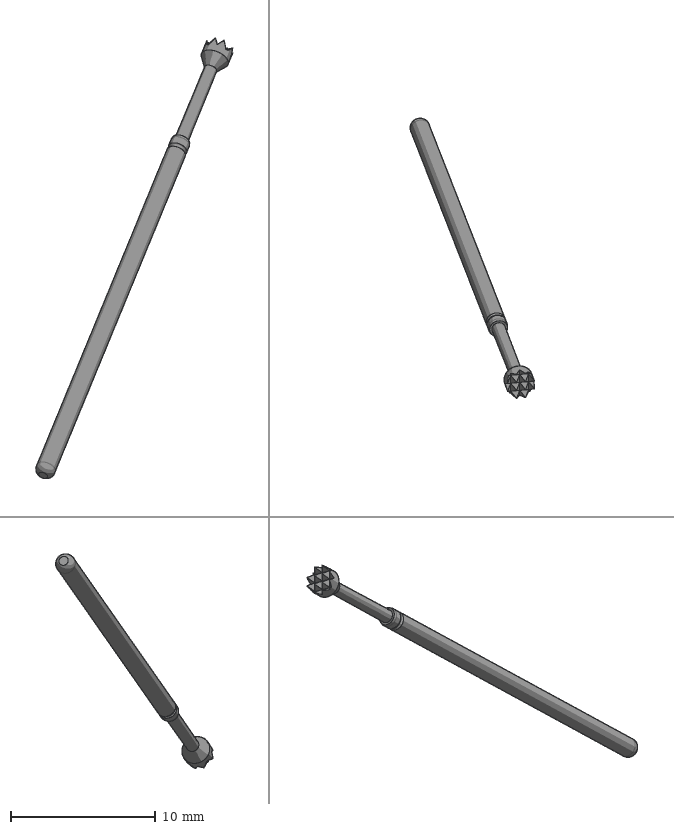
import cadquery as cq
import math

total_length = 38.4

head_radius = 1.0
head_length = 2.0
head_rim_length = 1.1

groove_pitch = 0.63
groove_depth = 0.52
groove_offsets = (-groove_pitch, 0, groove_pitch)
groove_turns = (0, 90)

shaft_tip_radius = 0.45
shaft_base_radius = 0.475

barrel_radius = 0.68
barrel_length = 30.0
mouth_length = 0.2
mouth_radius = 0.63
end_radius = 0.33
end_length = 0.65

crimp_start = 0.75
crimp_width = 0.3
crimp_depth = 0.1

tip_y = total_length
rim_y = tip_y - head_rim_length
head_base_y = tip_y - head_length
mouth_y = barrel_length
crimp_front_y = mouth_y - crimp_start
crimp_back_y = crimp_front_y - crimp_width
crimp_middle_y = (crimp_front_y + crimp_back_y) / 2


def make_body():
    """Revolve the half outline of barrel, shaft and plain head around Y."""
    halfway = math.radians(45)
    end_arc_middle = (
        end_radius + (barrel_radius - end_radius) * math.sin(halfway),
        end_length * (1 - math.cos(halfway)),
    )
    crimp_floor = (barrel_radius - crimp_depth, crimp_middle_y)
    outline = (
        cq.Workplane("XY")
        .moveTo(0, 0)
        .lineTo(end_radius, 0)
        .threePointArc(end_arc_middle, (barrel_radius, end_length))
        .lineTo(barrel_radius, crimp_back_y)
        .threePointArc(crimp_floor, (barrel_radius, crimp_front_y))
        .lineTo(barrel_radius, mouth_y - mouth_length)
        .lineTo(mouth_radius, mouth_y)
        .lineTo(shaft_base_radius, mouth_y)
        .lineTo(shaft_tip_radius, head_base_y)
        .lineTo(head_radius, rim_y)
        .lineTo(head_radius, tip_y)
        .lineTo(0, tip_y)
        .close()
    )
    return outline.revolve(360, (0, 0, 0), (0, 1, 0))


def make_groove(offset, turn):
    """One V groove across the head, offset from the axis and turned about it."""
    half_width = groove_pitch / 2
    groove = (
        cq.Workplane("XY")
        .moveTo(offset - half_width, tip_y)
        .lineTo(offset, tip_y - groove_depth)
        .lineTo(offset + half_width, tip_y)
        .close()
        .extrude(2 * head_radius, both=True)
    )
    return groove.rotate((0, 0, 0), (0, 1, 0), turn)


result = make_body()
for groove_turn in groove_turns:
    for groove_offset in groove_offsets:
        result = result.cut(make_groove(groove_offset, groove_turn))